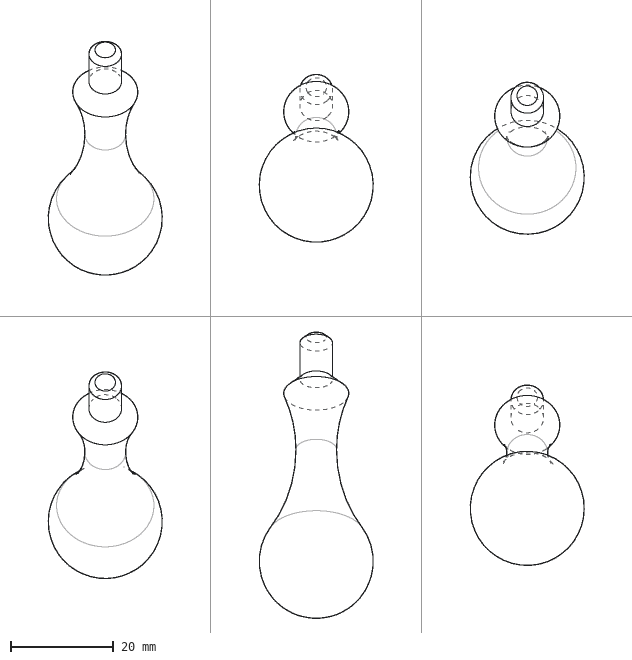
import math

import cadquery as cq

ball_radius = 22.225 / 2
total_height = 61.9125
shank_radius = 3.175
shank_length = 9.525
shank_chamfer = 1.19
collar_radius = 6.35
neck_radius = 3.97
neck_below_top = 25.5

shank_base_z = total_height - shank_length
collar_z = shank_base_z - (collar_radius - shank_radius)
neck_z = total_height - neck_below_top
ball_center_z = ball_radius


def arc_point(center, radius, angle):
    """Point (r, z) at the given angle on a circle in the profile plane."""
    return (center[0] + radius * math.cos(angle), center[1] + radius * math.sin(angle))


def neck_arc_radius(drop, radial_rise):
    """Radius of the arc that is vertical at the neck and passes through the offset point."""
    return (drop**2 + radial_rise**2) / (2 * radial_rise)


flare_radius = neck_arc_radius(collar_z - neck_z, collar_radius - neck_radius)
flare_center = (neck_radius + flare_radius, neck_z)
flare_sweep = math.asin((collar_z - neck_z) / flare_radius)
flare_mid = arc_point(flare_center, flare_radius, math.pi - flare_sweep / 2)

neck_to_ball = neck_z - ball_center_z
grip_radius = (neck_to_ball**2 + neck_radius**2 - ball_radius**2) / (2 * (ball_radius - neck_radius))
grip_center = (neck_radius + grip_radius, neck_z)
grip_sweep = math.asin(neck_to_ball / (grip_radius + ball_radius))
grip_mid = arc_point(grip_center, grip_radius, math.pi + grip_sweep / 2)

ball_center = (0, ball_center_z)
ball_start = arc_point(ball_center, ball_radius, grip_sweep)
ball_mid = arc_point(ball_center, ball_radius, (grip_sweep - math.pi / 2) / 2)


def turned_profile():
    """Closed half profile in the XZ plane, with one side on the Z axis."""
    return (
        cq.Workplane("XZ")
        .moveTo(0, total_height)
        .lineTo(shank_radius - shank_chamfer, total_height)
        .lineTo(shank_radius, total_height - shank_chamfer)
        .lineTo(shank_radius, shank_base_z)
        .lineTo(collar_radius, collar_z)
        .threePointArc(flare_mid, (neck_radius, neck_z))
        .threePointArc(grip_mid, ball_start)
        .threePointArc(ball_mid, (0, 0))
        .close()
    )


result = turned_profile().revolve(360, (0, 0, 0), (0, 1, 0))